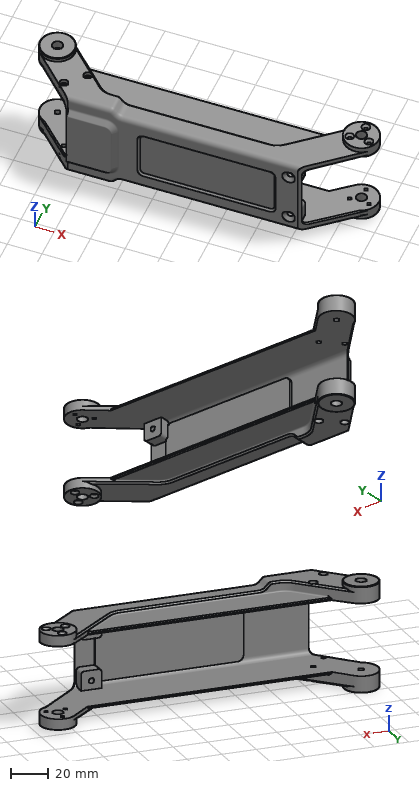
import cadquery as cq
import math

pivot_spacing = 175.0
pivot_radius = 10.0
left_arm_angle = 45.0
right_arm_angle = 40.0
front_y = -33.0
plate_thickness = 2.0
rail_edge_y = -20.9
panel_edge_y = -2.0

inner_half = 19.9
wall_draft = 1.2
panel_half = 22.0
rail_half = 24.0
wide_half = 28.0
left_disc_half = 30.5
right_disc_half = 27.0

step_start_x = 44.0
step_crest_radius = 3.0
step_root_radius = 5.0

front_edge_radius = 3.0
corner_blend_radius = 11.0
rim_chamfer = 1.0
panel_root_radius = 0.8
panel_chamfer = 0.7
end_chamfer = 0.8
left_disc_chamfer = 0.4
inner_corner_radius = 3.0

pad_height = 3.0
pad_left_x = 19.3
pad_right_x = 48.0
pad_half = 20.2
pad_corner_radius = 7.0
pad_taper = 45.0
pad_root_radius = 1.7
pad_crest_radius = 1.0

recess_left_x = 59.0
recess_right_x = 138.5
recess_half = 15.2
recess_corner_radius = 3.5
recess_depth = 1.2
recess_taper = 45.0
backing_height = 1.5
backing_margin = 3.0

screw_x = 146.0
screw_z = 15.0
screw_radius = 1.5
screw_head_radius = 3.7
boss_half = 6.0
boss_top_y = -24.0
boss_corner_radius = 2.0

left_pin_radius = 1.6
left_pin_head_radius = 3.0
left_pin_head_depth = 5.0
arm_screw_centers = [(22.5, -12.8), (12.6, -22.7)]
arm_screw_radius = 1.3
arm_screw_head_radius = 2.4
arm_screw_head_depth = 2.5

right_bore_radius = 3.0
ring_radius = 6.4
ring_screw_count = 3
ring_screw_radius = 1.0
ring_screw_head_radius = 2.4

left_pivot = (0.0, 0.0)
right_pivot = (pivot_spacing, 0.0)
plate_inner_y = front_y + plate_thickness
rail_mid_x = pivot_spacing / 2
reach = 100.0
pick = 0.2
overlap = 1.0


def edge_at(x, y, z, x_range=pick):
    """Selector for one edge by its centre; edge treatment then follows its tangent chain."""
    return cq.selectors.BoxSelector(
        (x - x_range, y - pick, z - pick), (x + x_range, y + pick, z + pick))


def rail_edge(y, z):
    """Selector for a lengthwise rail edge, whose centre lies near the middle of the part."""
    return edge_at(rail_mid_x, y, z, x_range=2 * pivot_radius)


def left_edge_x(y, side):
    """X at height y on the left arm's rear (side=+1) or front (side=-1) edge."""
    angle = math.radians(left_arm_angle)
    return (side * pivot_radius - y * math.cos(angle)) / math.sin(angle)


def right_edge_x(y, side):
    """X at height y on the right arm's rear (side=+1) or front (side=-1) edge."""
    angle = math.radians(right_arm_angle)
    return pivot_spacing - (side * pivot_radius - y * math.cos(angle)) / math.sin(angle)


def slab(sketch, half):
    """Extrude a closed XY outline symmetrically about Z = 0."""
    return sketch.extrude(half, both=True)


def disc(center, radius, half):
    return slab(cq.Workplane("XY").center(*center).circle(radius), half)


def arm_end(angle, side):
    """Rear or front point of an arm's square end, relative to its pivot."""
    a = math.radians(angle)
    return side * pivot_radius * math.sin(a), side * pivot_radius * math.cos(a)


def step_silhouette():
    """XZ silhouette: thick at the left, easing down 45 degrees to the rails."""
    drop = wide_half - rail_half
    step_end_x = step_start_x + drop
    left_x = -2 * pivot_radius
    right_x = pivot_spacing + 2 * pivot_radius
    half = (
        cq.Workplane("XZ")
        .polyline([
            (left_x, 0), (left_x, wide_half), (step_start_x, wide_half),
            (step_end_x, rail_half), (right_x, rail_half), (right_x, 0),
        ])
        .close()
        .extrude(reach, both=True)
    )
    half = half.edges(edge_at(step_start_x, 0, wide_half)).fillet(step_crest_radius)
    half = half.edges(edge_at(step_end_x, 0, rail_half)).fillet(step_root_radius)
    return half.union(half.mirror("XY"))


def frame():
    """Arms and rails as one solid bar, before hollowing."""
    left_rear = arm_end(left_arm_angle, 1)
    left_front = arm_end(left_arm_angle, -1)
    rx, ry = arm_end(right_arm_angle, 1)
    right_rear = (pivot_spacing - rx, ry)
    right_front = (pivot_spacing + rx, -ry)
    left_bend = (left_edge_x(rail_edge_y, 1), rail_edge_y)
    right_bend = (right_edge_x(rail_edge_y, 1), rail_edge_y)
    outline = cq.Workplane("XY").polyline([
        left_rear, left_bend, right_bend, right_rear, right_front,
        (right_edge_x(front_y, -1), front_y),
        (left_edge_x(front_y, -1), front_y),
        left_front,
    ]).close()
    bar = slab(outline, wide_half)
    for x, y in (left_bend, right_bend):
        bar = bar.edges(edge_at(x, y, 0)).fillet(corner_blend_radius)
    bar = bar.intersect(step_silhouette())
    for z in (rail_half, -rail_half):
        bar = bar.edges(rail_edge(front_y, z)).fillet(front_edge_radius)
        bar = bar.edges(rail_edge(rail_edge_y, z)).chamfer(rim_chamfer)
    return bar


def side_panels():
    """Thin panels filling the space between the two arms, still solid through Z."""
    hidden_y = rail_edge_y - 2 * overlap
    left_x = left_edge_x(panel_edge_y, 1)
    right_x = right_edge_x(panel_edge_y, 1)
    outline = cq.Workplane("XY").polyline([
        (left_x, panel_edge_y), (right_x, panel_edge_y),
        (right_edge_x(hidden_y, 1), hidden_y), (left_edge_x(hidden_y, 1), hidden_y),
    ]).close()
    block = slab(outline, panel_half)
    return block.faces(">Y").edges("|X").chamfer(panel_chamfer)


def outer_body():
    """Arms, rails and panels before hollowing."""
    body = frame().union(side_panels())
    for z in (panel_half, -panel_half):
        body = body.edges(rail_edge(rail_edge_y, z)).fillet(panel_root_radius)
    return body


def inner_channel():
    """Space between the drafted side walls, open at the rear and at both ends."""
    left_x = -2 * pivot_radius
    depth = 2 * pivot_radius - plate_inner_y
    rear_half = inner_half + depth * math.tan(math.radians(wall_draft))
    channel = (
        cq.Workplane("YZ", origin=(left_x, 0, 0))
        .polyline([
            (plate_inner_y, -inner_half), (plate_inner_y, inner_half),
            (plate_inner_y + depth, rear_half), (plate_inner_y + depth, -rear_half),
        ])
        .close()
        .extrude(pivot_spacing + 4 * pivot_radius)
    )
    return channel.faces("<Y").edges("|X").fillet(inner_corner_radius)


def pivot_discs():
    """Round pivot bosses at the arm ends, on both sides of the channel."""
    left = disc(left_pivot, pivot_radius, left_disc_half)
    left = left.faces("|Z").edges().chamfer(left_disc_chamfer)
    right = disc(right_pivot, pivot_radius, right_disc_half)
    return left.union(right)


def front_plane(y):
    """Workplane at height y with local x along +X, local y along +Z, normal -Y."""
    return cq.Workplane("XZ", origin=(0, y, 0))


def plate_block(left_x, right_x, half, corner):
    """Rounded-rectangle sketch on the front plate's outer face."""
    sketch = cq.Sketch().rect(right_x - left_x, 2 * half).vertices().fillet(corner)
    return front_plane(front_y).center((left_x + right_x) / 2, 0).placeSketch(sketch)


def front_pad():
    """Raised pad with sloped sides, cut off square at the left end of the plate."""
    hidden_x = pad_left_x - 3 * pad_corner_radius
    pad = plate_block(hidden_x, pad_right_x, pad_half, pad_corner_radius)
    pad = pad.extrude(pad_height, taper=pad_taper)
    pad = pad.faces("<Y").edges().fillet(pad_crest_radius)
    trim = cq.Workplane("XY").box(reach, reach, reach).translate((pad_left_x - reach / 2, front_y, 0))
    return pad.cut(trim)


def recess():
    """Shallow panel recess with sloped walls in the front face."""
    pocket = plate_block(recess_left_x, recess_right_x, recess_half, recess_corner_radius)
    return pocket.extrude(-recess_depth, taper=recess_taper)


def recess_backing():
    """Thickening inside the channel that keeps the plate stiff behind the recess."""
    backing = plate_block(
        recess_left_x - backing_margin, recess_right_x + backing_margin,
        recess_half + backing_margin, recess_corner_radius)
    return backing.extrude(-backing_height).translate((0, plate_thickness, 0))


def screw_boss(z):
    """Square boss behind a front screw, merging into the nearby side wall."""
    outer_z = math.copysign(inner_half + overlap, z)
    inner_z = z - math.copysign(boss_half, z)
    length = boss_top_y - plate_inner_y + overlap
    boss = cq.Workplane("XY").box(2 * boss_half, length, abs(outer_z - inner_z))
    boss = boss.translate((screw_x, boss_top_y - length / 2, (outer_z + inner_z) / 2))
    return boss.faces("<Z" if z > 0 else ">Z").edges("|Y").fillet(boss_corner_radius)


def countersunk(radius, head_radius, depth):
    """Through hole along -Z from Z = 0 with a 90 degree countersink at the top."""
    hole = cq.Workplane("XY").circle(radius).extrude(-depth)
    sink = head_radius - radius
    cone = cq.Solid.makeCone(head_radius, radius, sink, dir=cq.Vector(0, 0, -1))
    return hole.union(cq.Workplane(cone))


def counterbored(radius, head_radius, head_depth, depth):
    """Through hole along -Z from Z = 0 with a flat-bottomed head seat."""
    hole = cq.Workplane("XY").circle(radius).extrude(-depth)
    return hole.union(cq.Workplane("XY").circle(head_radius).extrude(-head_depth))


def cut_both_sides(body, tool, center, half):
    """Cut a tool into the outer faces at Z = +half and Z = -half."""
    placed = tool.translate((center[0], center[1], half))
    return body.cut(placed).cut(placed.mirror("XY"))


def add_front_screws(body):
    """Bosses and countersunk holes for the two screws through the front plate."""
    screw = countersunk(screw_radius, screw_head_radius, boss_top_y - front_y + overlap)
    screw = screw.rotate((0, 0, 0), (1, 0, 0), 90)
    for z in (screw_z, -screw_z):
        body = body.union(screw_boss(z)).cut(screw.translate((screw_x, front_y, z)))
    return body


def cut_left_holes(body):
    """Counterbored pivot pin and arm screws, in the upper and lower left arms."""
    pin = counterbored(left_pin_radius, left_pin_head_radius, left_pin_head_depth, left_disc_half)
    body = cut_both_sides(body, pin, left_pivot, left_disc_half)
    arm_screw = counterbored(arm_screw_radius, arm_screw_head_radius, arm_screw_head_depth, wide_half)
    for center in arm_screw_centers:
        body = cut_both_sides(body, arm_screw, center, wide_half)
    return body


def cut_right_holes(body):
    """Pivot bore and the ring of countersunk screws, in both right arms."""
    body = body.cut(disc(right_pivot, right_bore_radius, right_disc_half))
    ring_screw = countersunk(ring_screw_radius, ring_screw_head_radius, right_disc_half)
    for i in range(ring_screw_count):
        angle = math.radians(90 + i * 360 / ring_screw_count)
        center = (pivot_spacing + ring_radius * math.cos(angle), ring_radius * math.sin(angle))
        body = cut_both_sides(body, ring_screw, center, right_disc_half)
    return body


def hollow_arm():
    """Channel-section arm with chamfered open ends, front pad and pivot discs."""
    channel = inner_channel()
    body = outer_body().cut(channel)
    for x in (left_edge_x(plate_inner_y, -1), right_edge_x(plate_inner_y, -1)):
        body = body.edges(edge_at(x, plate_inner_y, 0)).chamfer(end_chamfer)
    body = body.union(front_pad())
    body = body.edges(edge_at(pad_right_x, front_y, 0)).fillet(pad_root_radius)
    return body.union(pivot_discs().cut(channel))


arm = hollow_arm().cut(recess()).union(recess_backing())
arm = add_front_screws(arm)
arm = cut_left_holes(arm)
result = cut_right_holes(arm)